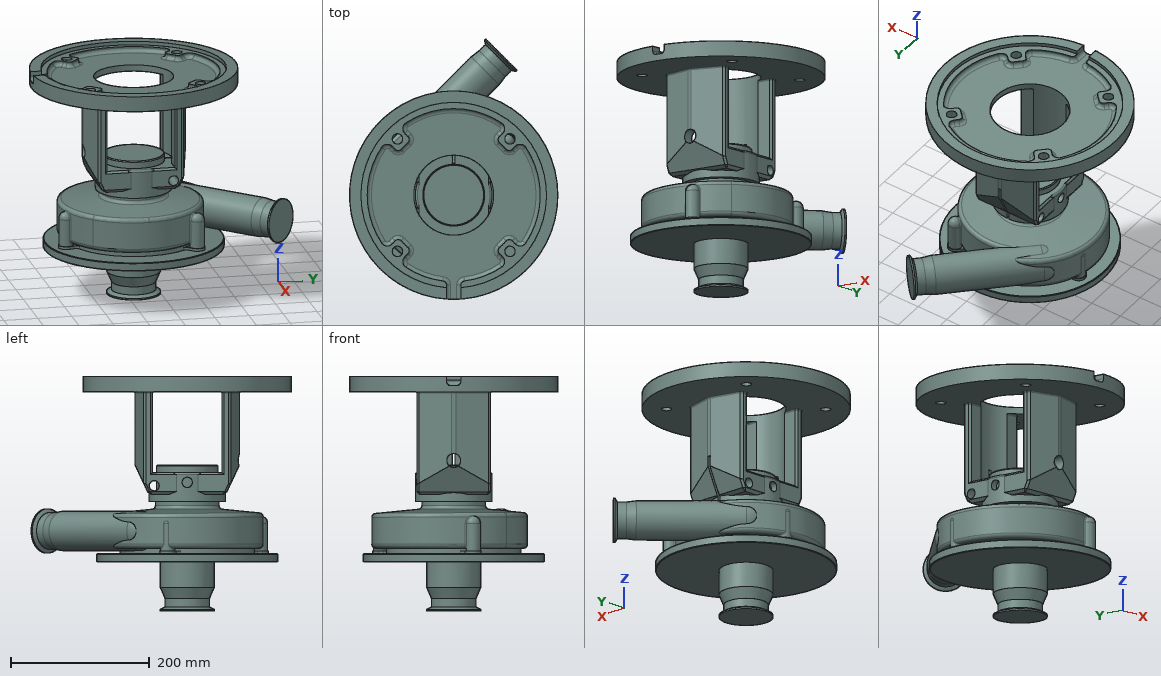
import cadquery as cq
import math

INLET_LIP_Z = 2.3
INLET_CONE_Z = 5.8
INLET_NECK_Z = 17.9
INLET_BARREL_Z = 33.6
PLATE_BOTTOM_Z = 70.3
PLATE_TOP_Z = 82.4
EAR_TOP_Z = 86.3
CASING_BOTTOM_Z = 90.0
OUTLET_Z = 115.0
POST_SHOULDER_Z = 126.0
COLLAR_BOTTOM_Z = 157.4
BLOCK_BOTTOM_Z = 167.2
COLLAR_TOP_Z = 199.0
HUB_TOP_Z = 209.8
FLANGE_BOTTOM_Z = 315.0
FLANGE_TOP_Z = 337.5
REGISTER_Z = 332.3
POCKET_FLOOR_Z = 324.5

INLET_BARREL_R = 39.0
INLET_NECK_R = 32.2
INLET_FLANGE_R = 39.0

PLATE_R = 130.5
PLATE_CHAMFER = 1.0
RING_R = 97.0
POST_R = 10.5
POST_ORBIT_R = 109.0
POST_CASING_FILLET = 1.5
EAR_R = 11.3
EAR_FLARE_R = 6.5
POST_ANGLES = (-75.0, 45.0, 165.0)

BIG_ARC_R = 113.65
BIG_ARC_OFFSET = 6.15
SMALL_ARC_R = 103.0
TAIL_LENGTH = 48.0
WIDE_SIDE_ANGLE = 135.0
CASING_FILLET = 6.0
CONE_SLOPE = 0.098
NECK_R = 46.0
NECK_CONE_Z = 146.9
NECK_FILLET = 5.0

OUTLET_ANGLE = 45.0
OUTLET_AXIS_OFFSET = 94.5
OUTLET_R = 28.5
OUTLET_NECK_R = 26.6
OUTLET_FLANGE_R = 32.0
OUTLET_TAPER_START = 158.5
OUTLET_TAPER_END = 172.8
OUTLET_CONE_START = 185.5
OUTLET_LIP_START = 189.0
OUTLET_END = 191.5

COLLAR_R = 55.25
COLLAR_FILLET = 3.0
HUB_R = 44.5
HUB_CHAMFER = 1.5
BLOCK_HALF_X = 53.0
BLOCK_RIDGE_Y = 75.5
RIDGE_HALF_WIDTH = 3.0
RIDGE_SLOPE = math.tan(math.radians(15))
WINDOW_HALF_Y = 49.8
BORE_R = 57.5
TAPER_TOP_Z = 210.5
TAPER_BOTTOM_Y = 55.2
ARM_EDGE_CHAMFER = 3.0
ARM_JOINT_FILLET = 1.5
BLOCK_BOTTOM_CHAMFER = 4.5
SIGHT_HOLE_R = 10.0
SIGHT_HOLE_Z = 216.4
SLIT_WIDTH = 3.6
CLAMP_HOLE_R = 7.2
CLAMP_HOLE_Y = 47.5
CLAMP_HOLE_Z = 180.0
SIDE_HOLE_R = 7.4
SIDE_HOLE_Z = 185.0

FLANGE_R = 150.0
REGISTER_R = 133.5
POCKET_R = 124.5
POCKET_FILLET = 6.0
LOBE_INNER_R = 100.0
LOBE_HALF_WIDTH = 13.0
LOBE_CORNER_R = 6.0
LOBE_ROOT_R = 9.7
LOBE_ANGLES = (45.0, 135.0, 225.0, 315.0)
BOLT_HOLE_R = 7.5
BOLT_ORBIT_R = 114.5
DRAIN_HALF_WIDTH = 10.3
DRAIN_CORNER_R = 6.0

CLEAR = 20.0
MATCH = 0.5


def cylinder(radius, z_low, z_high):
    """Vertical cylinder on the main axis."""
    return cq.Workplane("XY").workplane(offset=z_low).circle(radius).extrude(z_high - z_low)


def x_cylinder(radius, y, z, x_low, x_high):
    """Cylinder running along X."""
    return cq.Workplane("YZ", origin=(x_low, 0, 0)).center(y, z).circle(radius).extrude(x_high - x_low)


def revolved(profile):
    """Solid of revolution about the main axis from (radius, height) points."""
    points = [(0, profile[0][1])] + profile + [(0, profile[-1][1])]
    return cq.Workplane("XZ").polyline(points).close().revolve(360, (0, 0, 0), (0, 1, 0))


def make_inlet():
    return revolved([
        (INLET_FLANGE_R, 0),
        (INLET_FLANGE_R, INLET_LIP_Z),
        (INLET_NECK_R, INLET_CONE_Z),
        (INLET_NECK_R, INLET_NECK_Z),
        (INLET_BARREL_R, INLET_BARREL_Z),
        (INLET_BARREL_R, PLATE_BOTTOM_Z),
    ])


def make_base():
    plate = cylinder(PLATE_R, PLATE_BOTTOM_Z, PLATE_TOP_Z).edges().chamfer(PLATE_CHAMFER)
    return plate.union(cylinder(RING_R, PLATE_TOP_Z, CASING_BOTTOM_Z))


def make_ear():
    """Foot joining a post to the spacer ring, flared where it meets the ring."""
    root_y = EAR_R + EAR_FLARE_R
    root_x = math.sqrt(RING_R**2 - root_y**2)
    return (
        cq.Workplane("XY", origin=(0, 0, PLATE_TOP_Z))
        .moveTo(root_x, -root_y)
        .radiusArc((root_x + EAR_FLARE_R, -EAR_R), EAR_FLARE_R)
        .lineTo(POST_ORBIT_R, -EAR_R)
        .threePointArc((POST_ORBIT_R + EAR_R, 0), (POST_ORBIT_R, EAR_R))
        .lineTo(root_x + EAR_FLARE_R, EAR_R)
        .radiusArc((root_x, root_y), EAR_FLARE_R)
        .close()
        .extrude(EAR_TOP_Z - PLATE_TOP_Z)
    )


def make_posts():
    posts = cq.Workplane("XY")
    for angle in POST_ANGLES:
        post = cylinder(POST_R, PLATE_TOP_Z, POST_SHOULDER_Z)
        post = post.union(cq.Workplane("XY", origin=(0, 0, POST_SHOULDER_Z)).sphere(POST_R))
        post = post.translate((POST_ORBIT_R, 0, 0)).union(make_ear()).rotate((0, 0, 0), (0, 0, 1), angle)
        posts = posts.union(post)
    return posts


def arc_point(center_x, radius, y, side=1):
    """Point at height y on a circle centred on the local X axis."""
    return (center_x + side * math.sqrt(radius**2 - y**2), y)


def at_neck_root(edge):
    """True for the circle where the neck stands on the cone."""
    return abs(edge.Center().z - NECK_CONE_Z) < MATCH


def make_casing():
    """Spiral drum with a conical top and a neck, built with +X toward its wide side and then turned."""
    narrow_x = BIG_ARC_OFFSET - BIG_ARC_R
    small_arc_x = narrow_x + SMALL_ARC_R
    drum = (
        cq.Workplane("XY", origin=(0, 0, CASING_BOTTOM_Z))
        .moveTo(*arc_point(BIG_ARC_OFFSET, BIG_ARC_R, -TAIL_LENGTH))
        .threePointArc((BIG_ARC_OFFSET, BIG_ARC_R), (narrow_x, 0))
        .threePointArc((small_arc_x, -SMALL_ARC_R), arc_point(small_arc_x, SMALL_ARC_R, -TAIL_LENGTH))
        .close()
        .extrude(COLLAR_BOTTOM_Z - CASING_BOTTOM_Z)
        .rotate((0, 0, 0), (0, 0, 1), WIDE_SIDE_ANGLE)
    )
    cone_r = BIG_ARC_R + CLEAR
    cone = revolved([
        (cone_r, CASING_BOTTOM_Z),
        (cone_r, NECK_CONE_Z - CONE_SLOPE * (cone_r - NECK_R)),
        (NECK_R, NECK_CONE_Z),
    ])
    rims = cq.selectors.BoxSelector(
        (-FLANGE_R, -FLANGE_R, 0), (FLANGE_R, FLANGE_R, NECK_CONE_Z - NECK_FILLET / 2), boundingbox=False
    )
    drum = drum.intersect(cone).edges("not |Z").edges(rims).fillet(CASING_FILLET)
    neck = cylinder(NECK_R, NECK_CONE_Z - NECK_FILLET, COLLAR_BOTTOM_Z)
    return drum.union(neck).edges("%CIRCLE").filter(at_neck_root).fillet(NECK_FILLET)


def on_post_joint(edge):
    """True for an edge where a post runs into the drum above its lower face."""
    center = edge.Center()
    if edge.geomType() == "CIRCLE" or center.z < CASING_BOTTOM_Z:
        return False
    for angle in POST_ANGLES:
        post_x = POST_ORBIT_R * math.cos(math.radians(angle))
        post_y = POST_ORBIT_R * math.sin(math.radians(angle))
        if math.hypot(center.x - post_x, center.y - post_y) < POST_R + MATCH:
            return True
    return False


def make_casing_with_posts():
    return make_casing().union(make_posts()).edges().filter(on_post_joint).fillet(POST_CASING_FILLET)


def make_outlet():
    """Flanged pipe with a ball end buried in the casing, built along +X."""
    profile = (
        cq.Workplane("XY")
        .moveTo(-OUTLET_R, 0)
        .radiusArc((0, OUTLET_R), OUTLET_R)
        .lineTo(OUTLET_TAPER_START, OUTLET_R)
        .lineTo(OUTLET_TAPER_END, OUTLET_NECK_R)
        .lineTo(OUTLET_CONE_START, OUTLET_NECK_R)
        .lineTo(OUTLET_LIP_START, OUTLET_FLANGE_R)
        .lineTo(OUTLET_END, OUTLET_FLANGE_R)
        .lineTo(OUTLET_END, 0)
        .close()
    )
    pipe = profile.revolve(360, (0, 0, 0), (1, 0, 0))
    return pipe.translate((0, OUTLET_AXIS_OFFSET, OUTLET_Z)).rotate((0, 0, 0), (0, 0, 1), OUTLET_ANGLE)


def make_arm_block():
    """Faceted block with two sloping sides per arm and an undercut toward the collar."""
    side_y = BLOCK_RIDGE_Y - RIDGE_SLOPE * (BLOCK_HALF_X - RIDGE_HALF_WIDTH)
    plan = [
        (-BLOCK_HALF_X, -side_y),
        (-RIDGE_HALF_WIDTH, -BLOCK_RIDGE_Y),
        (RIDGE_HALF_WIDTH, -BLOCK_RIDGE_Y),
        (BLOCK_HALF_X, -side_y),
        (BLOCK_HALF_X, side_y),
        (RIDGE_HALF_WIDTH, BLOCK_RIDGE_Y),
        (-RIDGE_HALF_WIDTH, BLOCK_RIDGE_Y),
        (-BLOCK_HALF_X, side_y),
    ]
    side_profile = [
        (-TAPER_BOTTOM_Y, BLOCK_BOTTOM_Z),
        (TAPER_BOTTOM_Y, BLOCK_BOTTOM_Z),
        (BLOCK_RIDGE_Y, TAPER_TOP_Z),
        (BLOCK_RIDGE_Y, FLANGE_BOTTOM_Z),
        (-BLOCK_RIDGE_Y, FLANGE_BOTTOM_Z),
        (-BLOCK_RIDGE_Y, TAPER_TOP_Z),
    ]
    prism = (
        cq.Workplane("XY", origin=(0, 0, BLOCK_BOTTOM_Z))
        .polyline(plan).close().extrude(FLANGE_BOTTOM_Z - BLOCK_BOTTOM_Z)
    )
    profile = cq.Workplane("YZ").polyline(side_profile).close().extrude(BLOCK_HALF_X, both=True)
    block = prism.intersect(profile)
    window = (
        cq.Workplane("XY", origin=(0, 0, COLLAR_TOP_Z))
        .rect(2 * (BLOCK_HALF_X + CLEAR), 2 * WINDOW_HALF_Y)
        .extrude(FLANGE_BOTTOM_Z - COLLAR_TOP_Z)
    )
    block = block.cut(window)
    block = block.faces("<X or >X").edges("not >Z").edges("not <Z").chamfer(ARM_EDGE_CHAMFER)
    return block.faces("<Z").edges().chamfer(BLOCK_BOTTOM_CHAMFER)


def make_bracket():
    collar = cylinder(COLLAR_R, COLLAR_BOTTOM_Z, COLLAR_TOP_Z).faces(">Z").edges().fillet(COLLAR_FILLET)
    bracket = make_arm_block().union(collar)
    bracket = bracket.cut(cylinder(BORE_R, COLLAR_TOP_Z, FLANGE_BOTTOM_Z))
    sight_hole = (
        cq.Workplane("XZ", origin=(0, 0, SIGHT_HOLE_Z)).circle(SIGHT_HOLE_R).extrude(BLOCK_RIDGE_Y + CLEAR)
    )
    slit = (
        cq.Workplane("XY", origin=(0, 0, COLLAR_BOTTOM_Z))
        .rect(SLIT_WIDTH, BLOCK_RIDGE_Y + CLEAR, centered=(True, False))
        .extrude(SIGHT_HOLE_Z + SIGHT_HOLE_R - COLLAR_BOTTOM_Z)
    )
    reach = BLOCK_HALF_X + CLEAR
    bracket = bracket.cut(sight_hole).cut(slit)
    bracket = bracket.cut(x_cylinder(CLAMP_HOLE_R, CLAMP_HOLE_Y, CLAMP_HOLE_Z, -reach, reach))
    bracket = bracket.cut(x_cylinder(SIDE_HOLE_R, 0, SIDE_HOLE_Z, -reach, 0))
    hub = cylinder(HUB_R, COLLAR_BOTTOM_Z, HUB_TOP_Z).faces(">Z").edges().chamfer(HUB_CHAMFER)
    return bracket.union(hub)


def on_pocket_rim(edge):
    """True for an upright edge standing on the pocket's outer circle."""
    center = edge.Center()
    return abs(math.hypot(center.x, center.y) - POCKET_R) < MATCH


def near_drain(edge):
    """True for an upright edge beside the drain slot."""
    center = edge.Center()
    return center.y < 0 and abs(center.x) < 2 * DRAIN_HALF_WIDTH


def make_pocket():
    """Shallow pan of the top flange, notched by four bolt lobes and opening into the drain slot."""
    depth = REGISTER_Z - POCKET_FLOOR_Z
    floor = cq.Workplane("XY", origin=(0, 0, POCKET_FLOOR_Z))
    pan = floor.circle(POCKET_R).extrude(depth)
    for angle in LOBE_ANGLES:
        lobe = (
            floor.center((LOBE_INNER_R + FLANGE_R) / 2, 0)
            .rect(FLANGE_R - LOBE_INNER_R, 2 * LOBE_HALF_WIDTH)
            .extrude(depth)
            .edges("|Z and <X").fillet(LOBE_CORNER_R)
            .rotate((0, 0, 0), (0, 0, 1), angle)
        )
        pan = pan.cut(lobe)
    pan = pan.edges("|Z").filter(on_pocket_rim).fillet(LOBE_ROOT_R)
    drain = (
        floor.center(0, -(FLANGE_R + CLEAR) / 2)
        .rect(2 * DRAIN_HALF_WIDTH, FLANGE_R + CLEAR)
        .extrude(depth)
    )
    pocket = pan.union(drain)
    pocket = pocket.edges("|Z").filter(on_pocket_rim).filter(near_drain).fillet(DRAIN_CORNER_R)
    return pocket.faces("<Z").edges().fillet(POCKET_FILLET)


def make_top_flange():
    flange = cylinder(FLANGE_R, FLANGE_BOTTOM_Z, FLANGE_TOP_Z)
    flange = flange.cut(cylinder(REGISTER_R, REGISTER_Z, FLANGE_TOP_Z))
    flange = flange.cut(cylinder(BORE_R, FLANGE_BOTTOM_Z, FLANGE_TOP_Z))
    flange = flange.cut(make_pocket())
    rim_gap = (
        cq.Workplane("XY", origin=(0, -FLANGE_R, REGISTER_Z))
        .rect(2 * DRAIN_HALF_WIDTH, 2 * (FLANGE_R - POCKET_R))
        .extrude(FLANGE_TOP_Z - REGISTER_Z)
    )
    bolt_holes = (
        cq.Workplane("XY", origin=(0, 0, FLANGE_BOTTOM_Z))
        .polarArray(BOLT_ORBIT_R, LOBE_ANGLES[0], 360, len(LOBE_ANGLES))
        .circle(BOLT_HOLE_R)
        .extrude(FLANGE_TOP_Z - FLANGE_BOTTOM_Z)
    )
    return flange.cut(rim_gap).cut(bolt_holes)


def on_arm_joint(edge):
    """True for a straight edge where an arm meets the underside of the top flange."""
    box = edge.BoundingBox()
    level = abs(box.zmin - FLANGE_BOTTOM_Z) < MATCH and abs(box.zmax - FLANGE_BOTTOM_Z) < MATCH
    return level and edge.geomType() == "LINE"


def make_bracket_with_flange():
    return make_bracket().union(make_top_flange()).edges().filter(on_arm_joint).fillet(ARM_JOINT_FILLET)


result = (
    make_inlet()
    .union(make_base())
    .union(make_casing_with_posts())
    .union(make_outlet())
    .union(make_bracket_with_flange())
)